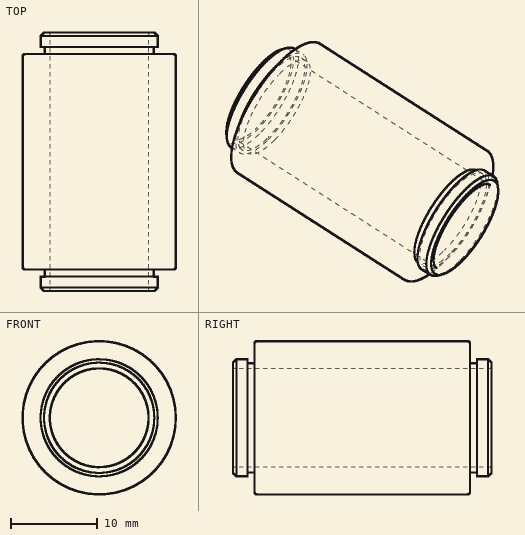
import cadquery as cq


total_length = 30.0

body_diameter = 17.8
body_length = 25.0
body_edge_radius = 0.3

collar_diameter = 13.59
collar_length = 1.7
collar_chamfer = 0.4

groove_diameter = 12.7

bore_diameter = 11.43
bore_edge_radius = 0.3


def cylinder_along_y(diameter, length):
    """Solid cylinder on the Y axis, centred on the origin."""
    disc = cq.Workplane("XZ", origin=(0, length / 2, 0)).circle(diameter / 2)
    return disc.extrude(length)


def make_neck():
    """Full-length core with chamfered ends, turned down between the two collars."""
    core = cylinder_along_y(collar_diameter, total_length)
    core = core.edges().chamfer(collar_chamfer)
    span_between_collars = total_length - 2 * collar_length
    turned_off = cylinder_along_y(collar_diameter, span_between_collars)
    turned_off = turned_off.cut(cylinder_along_y(groove_diameter, span_between_collars))
    return core.cut(turned_off)


def make_body():
    """Thick middle cylinder with rounded rims; it leaves a groove next to each collar."""
    body = cylinder_along_y(body_diameter, body_length)
    return body.edges().fillet(body_edge_radius)


def bore_through(part):
    """Cut the full-length bore and round its edge at both ends."""
    bored = part.cut(cylinder_along_y(bore_diameter, total_length))
    bore_rims = bored.faces("<Y or >Y").edges(cq.selectors.RadiusNthSelector(0))
    return bore_rims.fillet(bore_edge_radius)


result = bore_through(make_neck().union(make_body()))